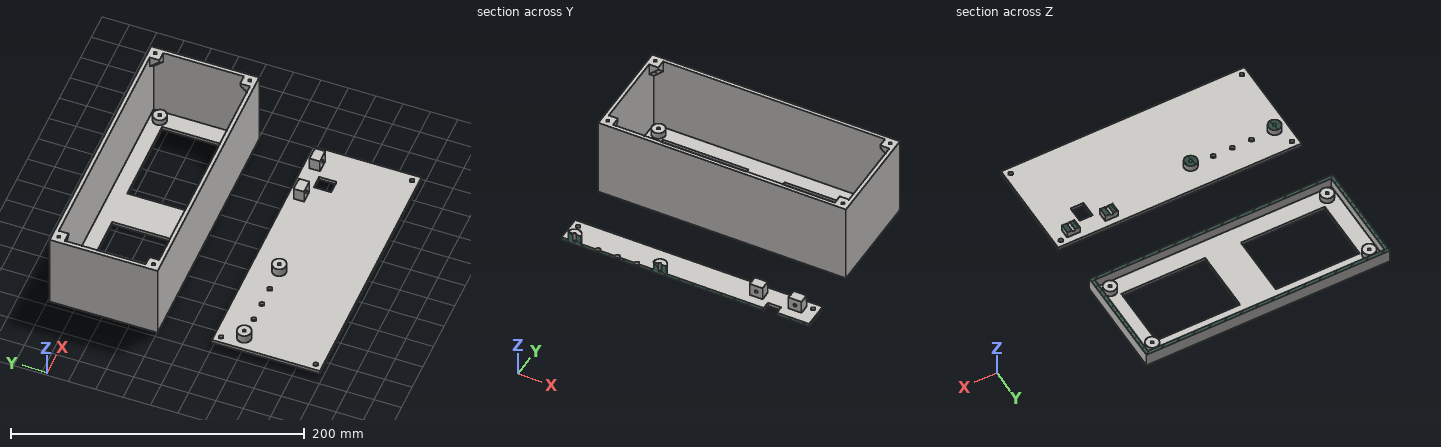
import cadquery as cq

LENGTH = 190.8
WIDTH = 79.0
SCREW_INSET = 5.0

BOX_HEIGHT = 63.0
WALL = 3.0
FLOOR = 3.0

POST_SIDE = 10.0
POST_INNER_EDGE = 2.0
POST_SLOPE = 1.0
POST_HOLE_DIAMETER = 2.2
POST_HOLE_DEPTH = 10.0

STANDOFF_DIAMETER = 10.0
STANDOFF_HOLE_DIAMETER = 2.2
BOX_STANDOFF_HEIGHT = 5.0
BOX_STANDOFF_SPACING_X = 170.0
BOX_STANDOFF_SPACING_Y = 58.2

WINDOW_LENGTH = 65.5
WINDOW_WIDTH = 48.2
WINDOW_SPACING = 93.6
WINDOW_OFFSET_Y = 1.2

LID_THICKNESS = 3.0
LID_SHIFT_X = 2.5
LID_BOTTOM = 3.0
OVERALL_WIDTH = 196.6
LID_SCREW_DIAMETER = 3.1

ROW_FROM_BACK = 19.9
LID_STANDOFF_HEIGHT = 6.9
LID_STANDOFF_FROM_LEFT = 10.0
LID_STANDOFF_SPACING = 65.7
ROW_HOLE_DIAMETER = 3.5
ROW_HOLE_COUNT = 3
ROW_HOLE_PITCH = 15.0
ROW_FIRST_HOLE_FROM_LEFT = 28.1

SWITCH_FROM_RIGHT = 29.9
SWITCH_LENGTH = 10.0
SWITCH_WIDTH = 12.5
SWITCH_FROM_BACK = 14.0
BLOCK_SPACING = 29.9
BLOCK_LENGTH = 10.0
BLOCK_WIDTH = 7.7
BLOCK_HEIGHT = 10.0
BLOCK_FROM_BACK = 5.0
BLOCK_HOLE_DIAMETER = 2.2
BLOCK_HOLE_HEIGHT = 5.0

LID_CENTER_Y = WIDTH - OVERALL_WIDTH
LID_LEFT = LID_SHIFT_X - LENGTH / 2
LID_RIGHT = LID_SHIFT_X + LENGTH / 2
LID_BACK = LID_CENTER_Y + WIDTH / 2
LID_TOP = LID_BOTTOM + LID_THICKNESS


def block(length, width, height, x, y, z):
    """Block centred on (x, y) that rises from height z."""
    body = cq.Workplane("XY").box(length, width, height, centered=(True, True, False))
    return body.translate((x, y, z))


def cylinder(diameter, height, x, y, z):
    """Upright cylinder that rises from height z."""
    return cq.Workplane("XY").circle(diameter / 2).extrude(height).translate((x, y, z))


def corner_points(center_x, center_y, spacing_x, spacing_y):
    """Corners of a rectangle centred on (center_x, center_y)."""
    return [
        (center_x + side_x * spacing_x / 2, center_y + side_y * spacing_y / 2)
        for side_x in (-1, 1)
        for side_y in (-1, 1)
    ]


def screw_points(center_x, center_y):
    """Places of the four corner screws in a footprint."""
    return corner_points(center_x, center_y, LENGTH - 2 * SCREW_INSET, WIDTH - 2 * SCREW_INSET)


def add_standoff(body, x, y, base, height):
    """Add a standoff and drill it down to its base."""
    body = body.union(cylinder(STANDOFF_DIAMETER, height, x, y, base))
    return body.cut(cylinder(STANDOFF_HOLE_DIAMETER, height, x, y, base))


def corner_post(side_x, side_y):
    """Post in one box corner, whose underside falls evenly from its inner edge to both walls."""
    drop = POST_SIDE * POST_SLOPE
    edge_z = BOX_HEIGHT - POST_INNER_EDGE
    outer_x = side_x * LENGTH / 2
    outer_y = side_y * WIDTH / 2
    inner_x = outer_x - side_x * POST_SIDE
    inner_y = outer_y - side_y * POST_SIDE
    corners = [
        (inner_x, inner_y, edge_z),
        (outer_x, inner_y, edge_z - drop),
        (outer_x, outer_y, edge_z - 2 * drop),
        (inner_x, outer_y, edge_z - drop),
    ]
    underside = cq.Wire.makePolygon([cq.Vector(*corner) for corner in corners], close=True)
    prism = cq.Solid.extrudeLinear(underside, [], cq.Vector(0, 0, POST_INNER_EDGE + 2 * drop))
    envelope = block(LENGTH, WIDTH, BOX_HEIGHT, 0, 0, 0)
    return envelope.intersect(cq.Workplane(prism))


def make_box():
    box = block(LENGTH, WIDTH, BOX_HEIGHT, 0, 0, 0)
    box = box.cut(block(LENGTH - 2 * WALL, WIDTH - 2 * WALL, BOX_HEIGHT - FLOOR, 0, 0, FLOOR))

    for side_x in (-1, 1):
        window_x = side_x * WINDOW_SPACING / 2
        box = box.cut(block(WINDOW_LENGTH, WINDOW_WIDTH, FLOOR, window_x, WINDOW_OFFSET_Y, 0))

    for x, y in corner_points(0, 0, BOX_STANDOFF_SPACING_X, BOX_STANDOFF_SPACING_Y):
        box = add_standoff(box, x, y, FLOOR, BOX_STANDOFF_HEIGHT)

    for side_x in (-1, 1):
        for side_y in (-1, 1):
            box = box.union(corner_post(side_x, side_y))
    for x, y in screw_points(0, 0):
        box = box.cut(cylinder(POST_HOLE_DIAMETER, POST_HOLE_DEPTH, x, y, BOX_HEIGHT - POST_HOLE_DEPTH))
    return box


def switch_block(x):
    """Block with a through hole along Y for a switch screw."""
    y = LID_BACK - BLOCK_FROM_BACK - BLOCK_WIDTH / 2
    body = block(BLOCK_LENGTH, BLOCK_WIDTH, BLOCK_HEIGHT, x, y, LID_TOP)
    return body.faces("<Y").workplane(origin=(x, y, LID_TOP + BLOCK_HOLE_HEIGHT)).hole(BLOCK_HOLE_DIAMETER)


def make_lid():
    lid = block(LENGTH, WIDTH, LID_THICKNESS, LID_SHIFT_X, LID_CENTER_Y, LID_BOTTOM)

    for x, y in screw_points(LID_SHIFT_X, LID_CENTER_Y):
        lid = lid.cut(cylinder(LID_SCREW_DIAMETER, LID_THICKNESS, x, y, LID_BOTTOM))

    row_y = LID_BACK - ROW_FROM_BACK
    for i in range(ROW_HOLE_COUNT):
        x = LID_LEFT + ROW_FIRST_HOLE_FROM_LEFT + i * ROW_HOLE_PITCH
        lid = lid.cut(cylinder(ROW_HOLE_DIAMETER, LID_THICKNESS, x, row_y, LID_BOTTOM))
    first_standoff_x = LID_LEFT + LID_STANDOFF_FROM_LEFT
    for x in (first_standoff_x, first_standoff_x + LID_STANDOFF_SPACING):
        lid = add_standoff(lid, x, row_y, LID_TOP, LID_STANDOFF_HEIGHT)

    switch_x = LID_RIGHT - SWITCH_FROM_RIGHT
    switch_y = LID_BACK - SWITCH_FROM_BACK - SWITCH_WIDTH / 2
    lid = lid.cut(block(SWITCH_LENGTH, SWITCH_WIDTH, LID_THICKNESS, switch_x, switch_y, LID_BOTTOM))
    for side_x in (-1, 1):
        lid = lid.union(switch_block(switch_x + side_x * BLOCK_SPACING / 2))
    return lid


box = make_box()
lid = make_lid()

result = cq.Compound.makeCompound([box.val(), lid.val()])